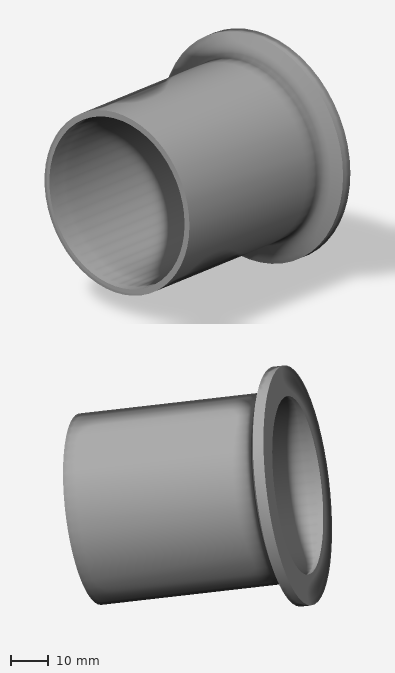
import cadquery as cq
import math

flange_radius = 31.95
tube_outer_radius = 25.5
bore_radius = 23.8
length = 57.2
rim_width = 2.95
taper_angle = math.radians(20)
root_radius = 1.5

blend_sweep = math.pi / 2 - taper_angle
blend_center_radius = tube_outer_radius + root_radius
taper_end_radius = blend_center_radius - root_radius * math.cos(blend_sweep)
taper_end_y = length - rim_width - (flange_radius - taper_end_radius) * math.tan(taper_angle)
blend_center_y = taper_end_y - root_radius * math.sin(blend_sweep)


def blend_point(angle):
    """Point on the root blend, with the angle measured from its tube end."""
    return (
        blend_center_radius - root_radius * math.cos(angle),
        blend_center_y + root_radius * math.sin(angle),
    )


half_section = (
    cq.Workplane("XY")
    .moveTo(bore_radius, 0)
    .lineTo(tube_outer_radius, 0)
    .lineTo(*blend_point(0))
    .threePointArc(blend_point(blend_sweep / 2), blend_point(blend_sweep))
    .lineTo(flange_radius, length - rim_width)
    .lineTo(flange_radius, length)
    .lineTo(bore_radius, length)
    .close()
)

result = half_section.revolve(360, (0, 0, 0), (0, 1, 0))